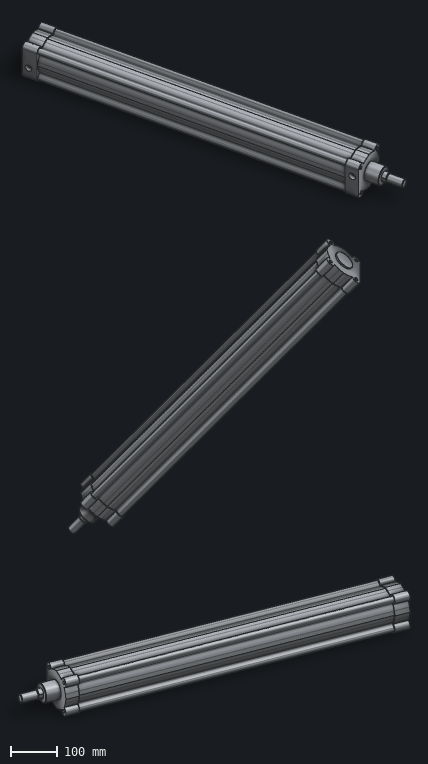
import cadquery as cq
import math


BOSS_LENGTH = 4.0
REAR_CAP_END = 40.0
FRONT_CAP_START = 798.0
FRONT_CAP_END = 831.0
NOSE_END = 867.0
NECK_END = 879.0
ROD_END = 918.0

CAP_HALF_SIZE = 47.0
CAP_RIDGE_SLOPE = 14.5
SCREW_OFFSET = 36.0
CAP_LOBE_RADIUS = CAP_HALF_SIZE - SCREW_OFFSET
SCREW_HOLE_RADIUS = 4.1
SCREW_HOLE_DEPTH = 16.5
PORT_RADIUS = 8.0
PORT_DEPTH = 11.0
PORT_INSET = 16.0
PORT_OFFSET = 13.0

SPIGOT_RADIUS = 22.5
NOSE_CHAMFER = 1.4

BARREL_HALF_SIZE = 44.0
BARREL_RIDGE_SLOPE = 13.0
RIB_RADIUS = 6.9
RIB_CENTRE_OFFSET = BARREL_HALF_SIZE - RIB_RADIUS
RIB_ROOT_FILLET = 2.3

ROD_RADIUS = 12.0
WIDTH_ACROSS_FLATS = 22.0
STUD_RADIUS = 10.0
SHOULDER_CHAMFER = ROD_RADIUS - STUD_RADIUS
TIP_CHAMFER = 1.4


def section_at(x):
    """A sketch plane across the axis, with local axes Y and Z."""
    return cq.Workplane("YZ", origin=(x, 0, 0))


def cylinder(radius, start, end):
    """A cylinder on the X axis between two stations."""
    return section_at(start).circle(radius).extrude(end - start)


def corner_cylinders(radius, offset, start, end):
    """Four cylinders parallel to X, one on each diagonal."""
    corners = section_at(start).rect(2 * offset, 2 * offset, forConstruction=True).vertices()
    return corners.circle(radius).extrude(end - start)


def core_radius(half_size, slope):
    """Radius of the circle whose tangent planes of this slope meet at the half size."""
    return half_size * math.cos(math.radians(slope))


def polar(radius, degrees):
    """The Y, Z point at this radius and angle from +Y."""
    angle = math.radians(degrees)
    return (radius * math.cos(angle), radius * math.sin(angle))


def ridged_core(half_size, slope, start, end):
    """A round core with a shallow ridge, made of two tangent planes, on each of its four sides."""
    radius = core_radius(half_size, slope)
    outline = section_at(start).moveTo(*polar(radius, -slope))
    for side in (0, 90, 180, 270):
        outline = outline.lineTo(*polar(half_size, side))
        outline = outline.lineTo(*polar(radius, side + slope))
        outline = outline.threePointArc(polar(radius, side + 45), polar(radius, side + 90 - slope))
    return outline.close().extrude(end - start)


def cap_block(start, end):
    """A ridged round block with a screw lobe on each diagonal and a flat port side at -Y."""
    core = ridged_core(CAP_HALF_SIZE, CAP_RIDGE_SLOPE, start, end)
    lobes = corner_cylinders(CAP_LOBE_RADIUS, SCREW_OFFSET, start, end)
    port_side = section_at(start).center(-CAP_HALF_SIZE / 2, 0).rect(CAP_HALF_SIZE, 2 * SCREW_OFFSET)
    return core.union(lobes).union(port_side.extrude(end - start))


def port(x, z):
    """The blind round port drilled into the flat side."""
    return cq.Workplane("XZ", origin=(x, -CAP_HALF_SIZE, z)).circle(PORT_RADIUS).extrude(-PORT_DEPTH)


def make_rear_cap():
    outer_face = BOSS_LENGTH
    screw_holes = corner_cylinders(
        SCREW_HOLE_RADIUS, SCREW_OFFSET, outer_face, outer_face + SCREW_HOLE_DEPTH
    )
    cap = cap_block(outer_face, REAR_CAP_END).cut(screw_holes)
    cap = cap.cut(port(outer_face + PORT_INSET, -PORT_OFFSET))
    return cap.union(cylinder(SPIGOT_RADIUS, 0, outer_face))


def make_front_cap():
    outer_face = FRONT_CAP_END
    screw_holes = corner_cylinders(
        SCREW_HOLE_RADIUS, SCREW_OFFSET, outer_face - SCREW_HOLE_DEPTH, outer_face
    )
    cap = cap_block(FRONT_CAP_START, outer_face).cut(screw_holes)
    cap = cap.cut(port(outer_face - PORT_INSET, PORT_OFFSET))
    nose = cylinder(SPIGOT_RADIUS, outer_face, NOSE_END).faces(">X").chamfer(NOSE_CHAMFER)
    return cap.union(nose)


def make_barrel():
    """A ridged core with a round-ended rib on each diagonal, filleted where rib meets core."""
    length = FRONT_CAP_START - REAR_CAP_END
    rib_span = 2 * (math.sqrt(2) * RIB_CENTRE_OFFSET + RIB_RADIUS)
    barrel = ridged_core(BARREL_HALF_SIZE, BARREL_RIDGE_SLOPE, REAR_CAP_END, FRONT_CAP_START)
    for diagonal in (45, 135):
        rib_pair = section_at(REAR_CAP_END).slot2D(rib_span, 2 * RIB_RADIUS, diagonal)
        barrel = barrel.union(rib_pair.extrude(length))

    radius = core_radius(BARREL_HALF_SIZE, BARREL_RIDGE_SLOPE)
    root_angle = math.degrees(math.asin(RIB_RADIUS / radius))
    mid_length = (REAR_CAP_END + FRONT_CAP_START) / 2
    for diagonal in (45, 135, 225, 315):
        for angle in (diagonal - root_angle, diagonal + root_angle):
            root = cq.selectors.NearestToPointSelector((mid_length, *polar(radius, angle)))
            barrel = barrel.edges("|X").edges(root).fillet(RIB_ROOT_FILLET)
    return barrel


def make_rod():
    """The rod end outside the nose: a neck with two wrench flats, then a plain stud."""
    neck = cylinder(ROD_RADIUS, NOSE_END, NECK_END).faces(">X").chamfer(SHOULDER_CHAMFER)
    flats = section_at(NOSE_END).rect(WIDTH_ACROSS_FLATS, 2 * ROD_RADIUS).extrude(NECK_END - NOSE_END)
    stud = cylinder(STUD_RADIUS, NECK_END, ROD_END).faces(">X").chamfer(TIP_CHAMFER)
    return neck.intersect(flats).union(stud)


rear_cap = make_rear_cap()
barrel = make_barrel()
front_cap = make_front_cap()
rod = make_rod()

result = cq.Compound.makeCompound([rear_cap.val(), barrel.val(), front_cap.val(), rod.val()])